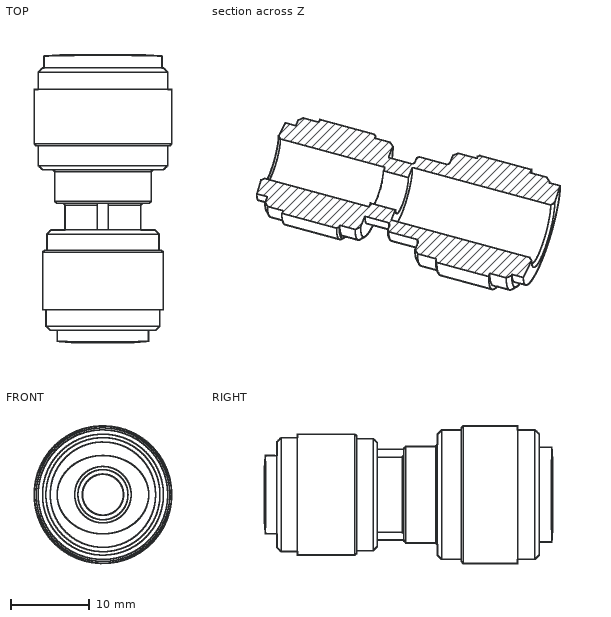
import cadquery as cq

LENGTH = 36.8

LARGE_BODY_START, LARGE_BODY_END = 1.7, 14.72
LARGE_BODY_RADIUS = 8.28
LARGE_SLEEVE_START, LARGE_SLEEVE_END = 4.45, 11.65
LARGE_SLEEVE_RADIUS = 8.8

NECK_END = 19.0
NECK_RADIUS = 6.2
CORE_RADIUS = 4.85
RIB_WIDTH = 1.4
RIB_HALF_HEIGHT = 5.8

SMALL_BODY_START, SMALL_BODY_END = 22.37, 35.2
SMALL_INNER_RADIUS = 7.18
SMALL_OUTER_RADIUS = 7.3
SMALL_SLEEVE_START, SMALL_SLEEVE_END = 25.0, 32.6
SMALL_SLEEVE_RADIUS = 7.73

BODY_CHAMFER = 0.55
SLEEVE_CHAMFER = 0.25
ROOT_BEVEL = 0.22

LARGE_COLLET_X, LARGE_COLLET_Z = 7.55, 6.07
SMALL_COLLET_X, SMALL_COLLET_Z = 5.85, 5.0
COLLET_FACE_DROP = 0.2

SMALL_BORE_RADIUS = 3.2
COLLET_WALL = SMALL_COLLET_Z - SMALL_BORE_RADIUS
LARGE_BORE_RADIUS = LARGE_COLLET_Z - COLLET_WALL
THROUGH_RADIUS = 2.6
MOUTH_CHAMFER = 0.4


def y_at(station):
    """Y coordinate of a station, with the part centred on the origin."""
    return LENGTH / 2 - station


def plane_at(station):
    """Cross-section plane whose normal points to the small end (-Y)."""
    return cq.Workplane("XZ", origin=(0, y_at(station), 0))


def cylinder(start, end, radius):
    return plane_at(start).circle(radius).extrude(end - start)


def cone(start, end, start_radius, end_radius):
    profile = [(0, y_at(start)), (start_radius, y_at(start)), (end_radius, y_at(end)), (0, y_at(end))]
    return cq.Workplane("XY").polyline(profile).close().revolve(360, (0, 0, 0), (0, 1, 0))


def collet(inner_station, end_station, half_x, half_z, bore_radius):
    """Oval collet trimmed by a cone that falls away from the bore mouth."""
    start = min(inner_station, end_station)
    oval = plane_at(start).ellipse(half_x, half_z).extrude(abs(end_station - inner_station))
    mouth_radius = bore_radius + MOUTH_CHAMFER
    slope = COLLET_FACE_DROP / (half_x - mouth_radius)
    base_radius = mouth_radius + abs(end_station - inner_station) / slope
    trim = cone(inner_station, end_station, base_radius, mouth_radius)
    return oval.intersect(trim)


large_body = cylinder(LARGE_BODY_START, LARGE_BODY_END, LARGE_BODY_RADIUS)
large_body = large_body.faces("<Y or >Y").edges().chamfer(BODY_CHAMFER)
large_sleeve = cylinder(LARGE_SLEEVE_START, LARGE_SLEEVE_END, LARGE_SLEEVE_RADIUS)
large_sleeve = large_sleeve.faces("<Y").edges().chamfer(SLEEVE_CHAMFER)

small_inner = cylinder(SMALL_BODY_START, SMALL_SLEEVE_START, SMALL_INNER_RADIUS)
small_inner = small_inner.faces(">Y").edges().chamfer(BODY_CHAMFER)
small_sleeve = cylinder(SMALL_SLEEVE_START, SMALL_SLEEVE_END, SMALL_SLEEVE_RADIUS)
small_sleeve = small_sleeve.faces(">Y").edges().chamfer(SLEEVE_CHAMFER)
small_outer = cylinder(SMALL_SLEEVE_END, SMALL_BODY_END, SMALL_OUTER_RADIUS)
small_outer = small_outer.faces("<Y").edges().chamfer(BODY_CHAMFER)

neck = cylinder(LARGE_BODY_END, NECK_END, NECK_RADIUS)
neck = neck.faces("<Y").edges().chamfer(SLEEVE_CHAMFER)
core = cylinder(NECK_END, SMALL_BODY_START, CORE_RADIUS)
neck_root = cone(LARGE_BODY_END, LARGE_BODY_END + ROOT_BEVEL, NECK_RADIUS + ROOT_BEVEL, NECK_RADIUS)
core_root = cone(NECK_END, NECK_END + ROOT_BEVEL, CORE_RADIUS + ROOT_BEVEL, CORE_RADIUS)
ribs = plane_at(NECK_END).rect(RIB_WIDTH, 2 * RIB_HALF_HEIGHT).extrude(SMALL_BODY_START - NECK_END)

large_collet = collet(LARGE_BODY_START, 0, LARGE_COLLET_X, LARGE_COLLET_Z, LARGE_BORE_RADIUS)
small_collet = collet(SMALL_BODY_END, LENGTH, SMALL_COLLET_X, SMALL_COLLET_Z, SMALL_BORE_RADIUS)

result = (
    large_body.union(large_sleeve).union(neck).union(core).union(ribs)
    .union(neck_root).union(core_root)
    .union(small_inner).union(small_sleeve).union(small_outer)
    .union(large_collet).union(small_collet)
    .cut(cylinder(0, LENGTH, THROUGH_RADIUS))
    .cut(cylinder(0, NECK_END, LARGE_BORE_RADIUS))
    .cut(cylinder(SMALL_BODY_START, LENGTH, SMALL_BORE_RADIUS))
    .cut(cone(0, MOUTH_CHAMFER, LARGE_BORE_RADIUS + MOUTH_CHAMFER, LARGE_BORE_RADIUS))
    .cut(cone(LENGTH - MOUTH_CHAMFER, LENGTH, SMALL_BORE_RADIUS, SMALL_BORE_RADIUS + MOUTH_CHAMFER))
)